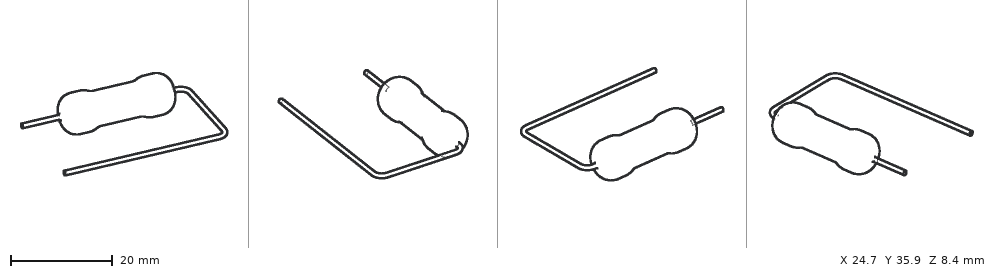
import cadquery as cq
import math

overall_length = 35.9
body_diameter = 8.4
waist_diameter = 7.15
wire_diameter = 1.0
lead_spacing = 20.0
bend_radius = 2.0
body_start = 8.55
body_length = 23.75
cap_straight = 2.23
neck_fillet = 0.8
shoulder_length = 2.45

body_radius = body_diameter / 2
waist_radius = waist_diameter / 2
wire_radius = wire_diameter / 2
neck_radius = wire_radius + neck_fillet
dome_radius = body_radius - neck_radius
body_middle = body_start + body_length / 2
shoulder_mid_radius = (body_radius + waist_radius) / 2
crossbar_y = overall_length - wire_radius
bend_start_y = crossbar_y - bend_radius
diagonal = math.sqrt(0.5)


def half_body():
    """Revolve one half of the body, from its lead end to the middle of the waist."""
    dome_top = body_start + dome_radius
    shoulder_start = dome_top + cap_straight
    shoulder_middle = shoulder_start + shoulder_length / 2
    shoulder_end = shoulder_start + shoulder_length
    neck_start = body_start - neck_fillet

    neck_mid = (neck_radius - neck_fillet * diagonal, neck_start + neck_fillet * diagonal)
    dome_mid = (neck_radius + dome_radius * diagonal, dome_top - dome_radius * diagonal)
    profile = (
        cq.Workplane("XY")
        .moveTo(0, neck_start)
        .lineTo(wire_radius, neck_start)
        .threePointArc(neck_mid, (neck_radius, body_start))
        .threePointArc(dome_mid, (body_radius, dome_top))
        .lineTo(body_radius, shoulder_start)
        .tangentArcPoint((shoulder_mid_radius, shoulder_middle), relative=False)
        .tangentArcPoint((waist_radius, shoulder_end), relative=False)
        .lineTo(waist_radius, body_middle)
        .lineTo(0, body_middle)
        .close()
    )
    return profile.revolve(360, (0, 0, 0), (0, 1, 0))


def body():
    """Join the half body to its mirror image across the middle."""
    lower = half_body()
    upper = lower.mirror("XZ", (0, body_middle, 0))
    return lower.union(upper)


def short_lead():
    """Straight lead that runs into the body."""
    return cq.Workplane("XZ").circle(wire_radius).extrude(-body_middle)


def bent_lead():
    """Lead that leaves the far end, crosses over and returns beside the body."""
    bend_offset = bend_radius * (1 - diagonal)
    path = (
        cq.Workplane("XY")
        .moveTo(lead_spacing, 0)
        .lineTo(lead_spacing, bend_start_y)
        .threePointArc(
            (lead_spacing - bend_offset, crossbar_y - bend_offset),
            (lead_spacing - bend_radius, crossbar_y),
        )
        .lineTo(bend_radius, crossbar_y)
        .threePointArc((bend_offset, crossbar_y - bend_offset), (0, bend_start_y))
        .lineTo(0, body_middle)
    )
    return cq.Workplane("XZ", origin=(lead_spacing, 0, 0)).circle(wire_radius).sweep(path)


result = body().union(short_lead()).union(bent_lead())